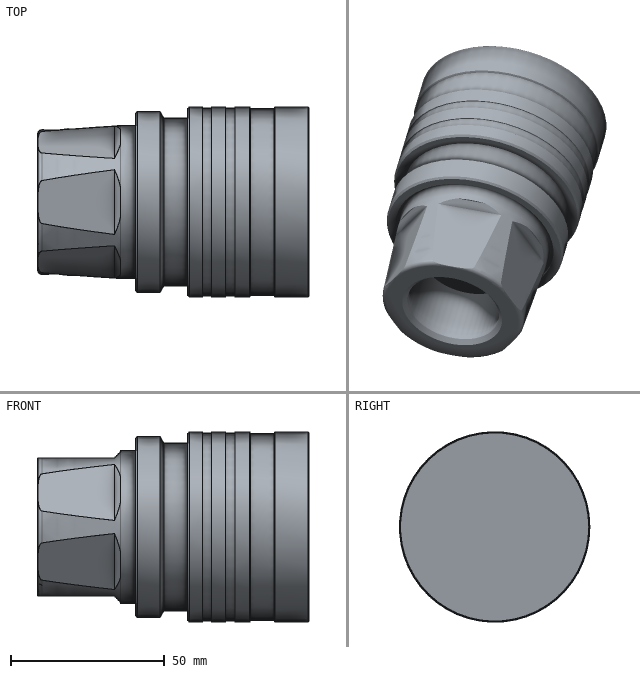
import cadquery as cq
import math

TOTAL_LENGTH = 88.3
NOSE_X = -TOTAL_LENGTH / 2

NOSE_LENGTH = 27.0
NOSE_TAPER_ANGLE = 3.1
NOSE_EDGE_FILLET = 1.5

COLLAR_RADIUS = 24.95
COLLAR_ROOT_FILLET = 0.5
FLANGE_START = 31.9
FLANGE_END = 39.8
FLANGE_RADIUS = 29.5
FLANGE_CHAMFER = 0.6
FLANGE_BACK_ANGLE = 60.0
FACE_GROOVE_RADIUS = 26.4
FACE_GROOVE_DEPTH = 1.0
NECK_RADIUS = 27.3

SLEEVE_START = 48.85
SLEEVE_RADIUS = 31.0
SLEEVE_FRONT_CHAMFER = 0.6
SLEEVE_BACK_CHAMFER = 0.35
GRIP_GROOVE_RADIUS = 30.6
GRIP_GROOVE_WIDTH = 3.0
GRIP_GROOVE_STARTS = (53.6, 61.2)
WIDE_GROOVE_RADIUS = 30.4
WIDE_GROOVE_START = 69.0
WIDE_GROOVE_END = 77.3
WIDE_GROOVE_EDGE = 0.35

FLAT_COUNT = 6
ACROSS_FLATS = 45.0
FLAT_LENGTH = 25.0

BORE_RADIUS = 15.3
BORE_DEPTH = 21.1
BORE_CHAMFER = 1.4

MARGIN = 5.0


def revolve_profile(profile):
    """Turn a closed (distance from nose face, radius) profile about the X axis."""
    turned = profile.close().revolve(360, (0, 0, 0), (1, 0, 0))
    return turned.translate((NOSE_X, 0, 0))


def make_nose():
    nose_tip_radius = COLLAR_RADIUS - NOSE_LENGTH * math.tan(math.radians(NOSE_TAPER_ANGLE))
    nose = revolve_profile(
        cq.Workplane("XY")
        .lineTo(0, nose_tip_radius)
        .lineTo(NOSE_LENGTH, COLLAR_RADIUS)
        .lineTo(NOSE_LENGTH, 0)
    )
    return nose.faces("<X").edges().fillet(NOSE_EDGE_FILLET)


def make_rear_body():
    """Collar, flange, neck and sleeve as one turned outline."""
    back_chamfer_length = (FLANGE_RADIUS - NECK_RADIUS) / math.tan(math.radians(FLANGE_BACK_ANGLE))
    groove_floor = FLANGE_START + FACE_GROOVE_DEPTH
    sleeve_front_radius = SLEEVE_RADIUS - SLEEVE_FRONT_CHAMFER
    sleeve_back_radius = SLEEVE_RADIUS - SLEEVE_BACK_CHAMFER
    return revolve_profile(
        cq.Workplane("XY")
        .moveTo(NOSE_LENGTH, 0)
        .lineTo(NOSE_LENGTH, COLLAR_RADIUS)
        .lineTo(groove_floor - COLLAR_ROOT_FILLET, COLLAR_RADIUS)
        .radiusArc((groove_floor, COLLAR_RADIUS + COLLAR_ROOT_FILLET), -COLLAR_ROOT_FILLET)
        .lineTo(groove_floor, FACE_GROOVE_RADIUS)
        .lineTo(FLANGE_START, FACE_GROOVE_RADIUS)
        .lineTo(FLANGE_START, FLANGE_RADIUS - FLANGE_CHAMFER)
        .lineTo(FLANGE_START + FLANGE_CHAMFER, FLANGE_RADIUS)
        .lineTo(FLANGE_END, FLANGE_RADIUS)
        .lineTo(FLANGE_END + back_chamfer_length, NECK_RADIUS)
        .lineTo(SLEEVE_START, NECK_RADIUS)
        .lineTo(SLEEVE_START, sleeve_front_radius)
        .lineTo(SLEEVE_START + SLEEVE_FRONT_CHAMFER, SLEEVE_RADIUS)
        .lineTo(TOTAL_LENGTH - SLEEVE_BACK_CHAMFER, SLEEVE_RADIUS)
        .lineTo(TOTAL_LENGTH, sleeve_back_radius)
        .lineTo(TOTAL_LENGTH, 0)
    )


def make_ring_groove(start, end, floor_radius, edge_run=0.0):
    """Ring to cut from the sleeve; edge_run is the axial length of each sloped wall."""
    outer_radius = SLEEVE_RADIUS + MARGIN
    return revolve_profile(
        cq.Workplane("XY")
        .moveTo(start, outer_radius)
        .lineTo(start, SLEEVE_RADIUS)
        .lineTo(start + edge_run, floor_radius)
        .lineTo(end - edge_run, floor_radius)
        .lineTo(end, SLEEVE_RADIUS)
        .lineTo(end, outer_radius)
    )


def cut_wrench_flats(body):
    """Mill equal flats, each running out at 45 degrees at its rear end; one faces +Z."""
    flat_offset = ACROSS_FLATS / 2
    cut_height = COLLAR_RADIUS - flat_offset + MARGIN
    cutter = (
        cq.Workplane("XZ")
        .moveTo(NOSE_X - MARGIN, flat_offset)
        .lineTo(NOSE_X + FLAT_LENGTH, flat_offset)
        .lineTo(NOSE_X + FLAT_LENGTH + cut_height, flat_offset + cut_height)
        .lineTo(NOSE_X - MARGIN, flat_offset + cut_height)
        .close()
        .extrude(COLLAR_RADIUS, both=True)
    )
    for index in range(FLAT_COUNT):
        body = body.cut(cutter.rotate((0, 0, 0), (1, 0, 0), index * 360 / FLAT_COUNT))
    return body


def make_bore():
    mouth_radius = BORE_RADIUS + BORE_CHAMFER
    return revolve_profile(
        cq.Workplane("XY")
        .lineTo(0, mouth_radius)
        .lineTo(BORE_CHAMFER, BORE_RADIUS)
        .lineTo(BORE_DEPTH, BORE_RADIUS)
        .lineTo(BORE_DEPTH, 0)
    )


nose = cut_wrench_flats(make_nose())
body = nose.union(make_rear_body())
for groove_start in GRIP_GROOVE_STARTS:
    groove_end = groove_start + GRIP_GROOVE_WIDTH
    body = body.cut(make_ring_groove(groove_start, groove_end, GRIP_GROOVE_RADIUS))
body = body.cut(
    make_ring_groove(WIDE_GROOVE_START, WIDE_GROOVE_END, WIDE_GROOVE_RADIUS, WIDE_GROOVE_EDGE)
)
result = body.cut(make_bore())